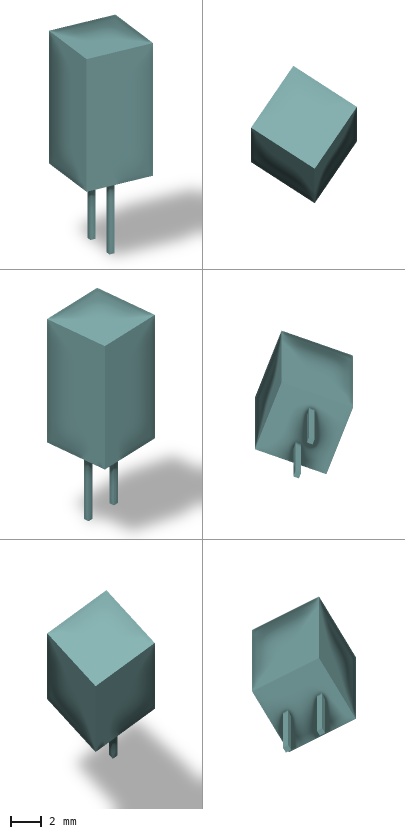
import cadquery as cq

total_height = 15.1
body_side = 5.0

lead_length = 5.5
lead_side = 0.4
lead_pitch = 2.54

body_height = total_height - lead_length


def make_body():
    """Square block standing on the XY plane."""
    return cq.Workplane("XY").rect(body_side, body_side).extrude(body_height)


def make_leads():
    """Pair of square leads along X, hanging from the underside of the body."""
    return (
        cq.Workplane("XY")
        .rarray(lead_pitch, 0.15, 2, 1)
        .rect(lead_side, lead_side)
        .extrude(-lead_length)
    )


result = make_body().union(make_leads())